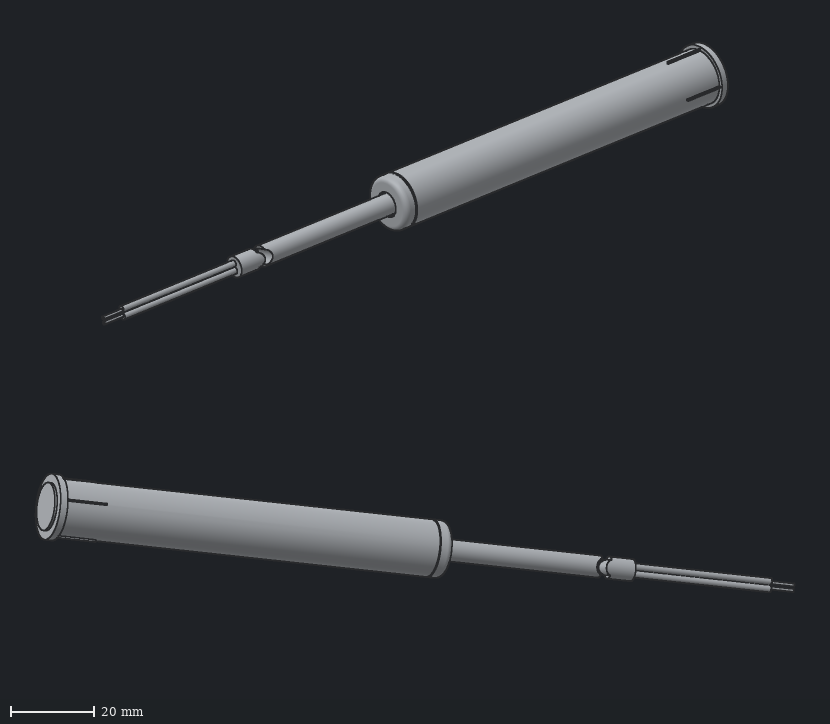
import cadquery as cq

TOTAL_LENGTH = 194.0
HOUSING_LENGTH = 103.0

BODY_DIAMETER = 14.0
FLANGE_DIAMETER = 16.0
FLANGE_THICKNESS = 1.9
FACE_DIAMETER = 11.6
FACE_HEIGHT = 0.6
RIB_COUNT = 4
RIB_LENGTH = 10.4
RIB_HEIGHT = 0.5
RIB_WIDTH = 0.3
RIB_ROOT = 1.0

CAP_LENGTH = 3.3
CAP_FILLET = 1.4
SEAM_CHAMFER = 0.25
CABLE_RECESS_DIAMETER = 6.4
CABLE_RECESS_DEPTH = 1.0

CABLE_DIAMETER = 5.4
CABLE_TILT = 15.0
CABLE_END = 143.5
BREAK_GAP = 2.4
BREAK_WIDTH = 3.8
BREAK_DEPTH = 1.5
STUB_END = 152.0

WIRE_DIAMETER = 1.75
WIRE_END = 188.0
CONDUCTOR_DIAMETER = 0.8
CONDUCTOR_SPACING = 1.3


def rod(diameter, start, end, z=0.0):
    """Round rod along Y between two distances from the sensing face."""
    plane = cq.Plane(origin=(0, -start, z), xDir=(0, 0, 1), normal=(0, -1, 0))
    return cq.Workplane(plane).circle(diameter / 2).extrude(end - start)


def make_housing():
    """Round body with its flange, raised sensing face and ribs."""
    flange_end = FACE_HEIGHT + FLANGE_THICKNESS
    body = rod(BODY_DIAMETER, flange_end, HOUSING_LENGTH - CAP_LENGTH)
    body = body.faces("<Y").chamfer(SEAM_CHAMFER)
    body = body.union(rod(FLANGE_DIAMETER, FACE_HEIGHT, flange_end))
    body = body.union(rod(FACE_DIAMETER, 0, FACE_HEIGHT))

    rib_depth = RIB_HEIGHT + RIB_ROOT
    rib_y = -flange_end - RIB_LENGTH / 2
    rib_z = BODY_DIAMETER / 2 + RIB_HEIGHT - rib_depth / 2
    rib = cq.Workplane("XY").box(RIB_WIDTH, RIB_LENGTH, rib_depth).translate((0, rib_y, rib_z))
    for i in range(RIB_COUNT):
        body = body.union(rib.rotate((0, 0, 0), (0, 1, 0), i * 360 / RIB_COUNT))
    return body


def make_cap():
    """Rounded end cap with a clearance recess around the cable."""
    cap = rod(BODY_DIAMETER, HOUSING_LENGTH - CAP_LENGTH, HOUSING_LENGTH)
    cap = cap.faces("<Y").edges().fillet(CAP_FILLET)
    recess = rod(CABLE_RECESS_DIAMETER, HOUSING_LENGTH - CABLE_RECESS_DEPTH, HOUSING_LENGTH)
    return cap.cut(recess)


def break_block(shoulder, length):
    """Block running to -Y from flat shoulders, with an arc bulging to +Y between them."""
    half_height = CABLE_DIAMETER / 2
    half_width = BREAK_WIDTH / 2
    return (
        cq.Workplane("YZ")
        .moveTo(-shoulder, -half_height)
        .lineTo(-shoulder, -half_width)
        .threePointArc((-shoulder + BREAK_DEPTH, 0), (-shoulder, half_width))
        .lineTo(-shoulder, half_height)
        .lineTo(-shoulder - length, half_height)
        .lineTo(-shoulder - length, -half_height)
        .close()
        .extrude(CABLE_DIAMETER, both=True)
    )


def make_cable():
    """Cable from the floor of the cap's recess to the hollow side of the break."""
    cable = rod(CABLE_DIAMETER, HOUSING_LENGTH - CABLE_RECESS_DEPTH, CABLE_END)
    return cable.cut(break_block(CABLE_END, BREAK_DEPTH))


def make_stub():
    """Far end of the cable, with two touching wires stripped to their conductors."""
    shoulder = CABLE_END + BREAK_GAP
    stub = rod(CABLE_DIAMETER, shoulder - BREAK_DEPTH, STUB_END)
    stub = stub.intersect(break_block(shoulder, STUB_END - shoulder))
    for side in (-1, 1):
        wire_z = side * WIRE_DIAMETER / 2
        conductor_z = side * CONDUCTOR_SPACING / 2
        stub = stub.union(rod(WIRE_DIAMETER, STUB_END, WIRE_END, wire_z))
        stub = stub.union(rod(CONDUCTOR_DIAMETER, WIRE_END, TOTAL_LENGTH, conductor_z))
    return stub


def tilt(body):
    """Turn a body about the long axis, its top going to -X."""
    return body.rotate((0, 0, 0), (0, 1, 0), -CABLE_TILT)


housing = make_housing()
cap = make_cap()
cable = tilt(make_cable())
stub = tilt(make_stub())

result = cq.Compound.makeCompound([housing.val(), cap.val(), cable.val(), stub.val()])